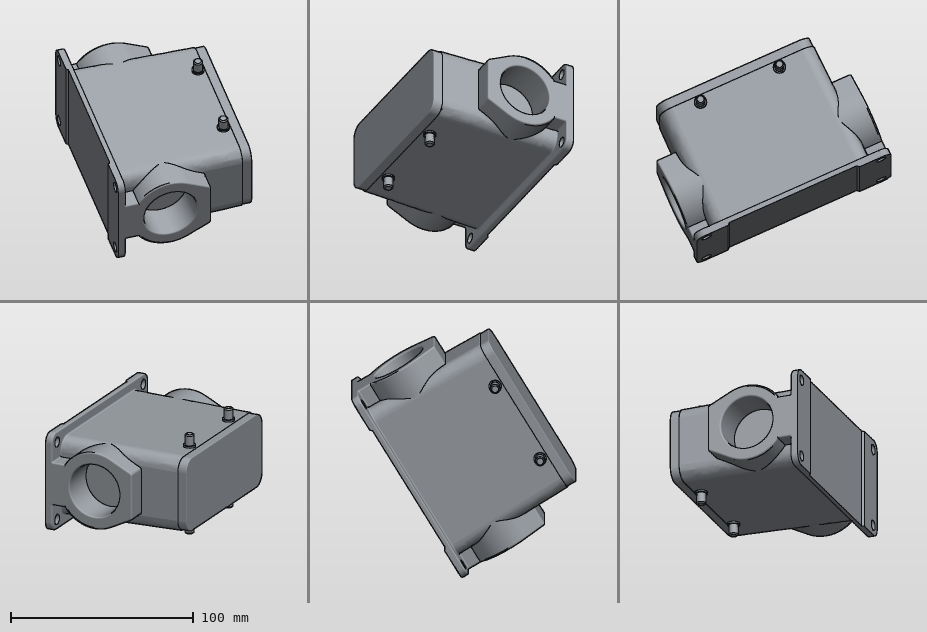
import cadquery as cq
import math

plate_length = 117.0
plate_height = 56.4
plate_thickness = 4.2
plate_corner_radius = 5.3
plate_hole_diameter = 5.6
plate_hole_x = 52.5
plate_hole_z = 22.5

relief_depth = 1.2
relief_half_width = 38.4
relief_slope_run = 1.2

base_length = 95.5
base_height = 45.3
shoulder_length = 93.1
shoulder_height = 43.0
shoulder_y = 74.9
body_corner_radius = 7.5

lip_end_y = 80.3
lip_inset = 0.5
lip_corner_radius = body_corner_radius - lip_inset
lip_edge_fillet = 0.4
shoulder_fillet = 0.4

hub_center_y = 30.1
hub_radius = 22.1
hub_flat_y = 53.0
hub_flat_half_width = 13.2
hub_vertex_fillet = 1.8
hub_root_x = 38.6
neck_half_width = 12.3
bore_radius = 15.2
bore_depth = 19.9
edge_fillet = 0.9
root_fillet = 0.7

select_margin = 0.1

pin_span = 57.7
pin_x = 23.8
pin_y = 70.8
pin_tip_z = pin_span / 2
pin_radius = 2.6
pin_tip_chamfer = 0.7
collar_radius = 3.4
collar_top_z = 22.6
pin_root_z = 17.5

end_x = plate_length / 2


def rounded_slab(length, height, start_y, thickness, corner_radius):
    """Slab normal to Y with its four corners rounded."""
    slab = cq.Workplane("XY").box(length, thickness, height)
    slab = slab.edges("|Y").fillet(corner_radius)
    return slab.translate((0, start_y + thickness / 2, 0))


def rounded_outline(length, height, corner_radius):
    """Rounded rectangle used as a loft section."""
    return cq.Sketch().rect(length, height).vertices().fillet(corner_radius)


def make_body():
    """Tapered housing from the plate to the shoulder, with the lip on top."""
    start_y = plate_thickness
    taper = (
        cq.Workplane("XZ", origin=(0, start_y, 0))
        .placeSketch(
            rounded_outline(base_length, base_height, body_corner_radius),
            rounded_outline(shoulder_length, shoulder_height, body_corner_radius).moved(
                cq.Location(cq.Vector(0, 0, start_y - shoulder_y))
            ),
        )
        .loft(ruled=True)
    )
    taper = taper.faces(">Y").edges().fillet(shoulder_fillet)
    lip = rounded_slab(
        shoulder_length - 2 * lip_inset,
        shoulder_height - 2 * lip_inset,
        shoulder_y,
        lip_end_y - shoulder_y,
        lip_corner_radius,
    )
    lip = lip.faces(">Y").edges().fillet(lip_edge_fillet)
    return taper.union(lip)


def make_hub():
    """Solid hub on the +X end: arc outline, flat far side, neck down to the plate."""
    flat_from_center = hub_flat_y - hub_center_y
    vertex_distance = math.hypot(flat_from_center, hub_flat_half_width)
    vertex_angle = math.atan2(hub_flat_half_width, flat_from_center)
    tangent_angle = vertex_angle + math.acos(hub_radius / vertex_distance)
    tangent_y = hub_center_y + hub_radius * math.cos(tangent_angle)
    tangent_z = hub_radius * math.sin(tangent_angle)
    neck_y = hub_center_y - math.sqrt(hub_radius**2 - neck_half_width**2)
    foot_y = plate_thickness / 2

    hub = (
        cq.Workplane("YZ", origin=(hub_root_x, 0, 0))
        .moveTo(foot_y, -neck_half_width)
        .lineTo(neck_y, -neck_half_width)
        .threePointArc((hub_center_y, -hub_radius), (tangent_y, -tangent_z))
        .lineTo(hub_flat_y, -hub_flat_half_width)
        .lineTo(hub_flat_y, hub_flat_half_width)
        .lineTo(tangent_y, tangent_z)
        .threePointArc((hub_center_y, hub_radius), (neck_y, neck_half_width))
        .lineTo(foot_y, neck_half_width)
        .close()
        .extrude(end_x - hub_root_x)
    )
    return hub.faces(">Y").edges("|X").fillet(hub_vertex_fillet)


def make_shell():
    """Plate, hubs and housing as one solid, with rounded roots and end rims."""
    hub = make_hub()
    solid = rounded_slab(plate_length, plate_height, 0, plate_thickness, plate_corner_radius)
    solid = solid.union(hub).union(hub.mirror("YZ")).union(make_body())

    root_reach_x = end_x - plate_corner_radius / 2
    root_reach_z = base_height / 2 + select_margin
    root_edges = cq.selectors.BoxSelector(
        (-root_reach_x, plate_thickness - select_margin, -root_reach_z),
        (root_reach_x, plate_thickness + select_margin, root_reach_z),
    )
    solid = solid.edges(root_edges).fillet(root_fillet)

    right_rim, left_rim = [
        cq.selectors.BoxSelector(
            (x - select_margin, plate_thickness - select_margin, -plate_height),
            (x + select_margin, lip_end_y, plate_height),
        )
        for x in (end_x, -end_x)
    ]
    return solid.edges(right_rim + left_rim).fillet(edge_fillet)


def make_bore():
    """Blind entry on the +X end, flared at the mouth to round its rim."""
    bore = cq.Workplane("YZ", origin=(end_x, hub_center_y, 0)).circle(bore_radius).extrude(-bore_depth)
    mouth = (
        cq.Workplane("XY", origin=(end_x, hub_center_y, 0))
        .lineTo(0, bore_radius + edge_fillet)
        .radiusArc((-edge_fillet, bore_radius), edge_fillet)
        .lineTo(-edge_fillet, 0)
        .close()
        .revolve(360, (0, 0, 0), (1, 0, 0))
    )
    return bore.union(mouth)


def make_pin(x):
    """Pin with a chamfered tip and a wider collar, on the +Z face."""
    base = cq.Workplane("XY", origin=(x, pin_y, pin_root_z))
    pin = base.circle(pin_radius).extrude(pin_tip_z - pin_root_z)
    pin = pin.faces(">Z").chamfer(pin_tip_chamfer)
    collar = base.circle(collar_radius).extrude(collar_top_z - pin_root_z)
    return pin.union(collar)


def make_relief():
    """Sloped-side groove running the full height of the plate."""
    mouth_half_width = relief_half_width + relief_slope_run
    return (
        cq.Workplane("XY")
        .polyline([
            (-mouth_half_width, 0),
            (mouth_half_width, 0),
            (relief_half_width, relief_depth),
            (-relief_half_width, relief_depth),
        ])
        .close()
        .extrude(plate_height / 2, both=True)
    )


def make_plate_holes():
    """Four screw holes through the plate's corners."""
    return (
        cq.Workplane("XZ")
        .rect(2 * plate_hole_x, 2 * plate_hole_z, forConstruction=True)
        .vertices()
        .circle(plate_hole_diameter / 2)
        .extrude(-plate_thickness)
    )


result = make_shell()
for x in (-pin_x, pin_x):
    pin = make_pin(x)
    result = result.union(pin).union(pin.mirror("XY"))
bore = make_bore()
result = result.cut(bore).cut(bore.mirror("YZ"))
result = result.cut(make_relief()).cut(make_plate_holes())